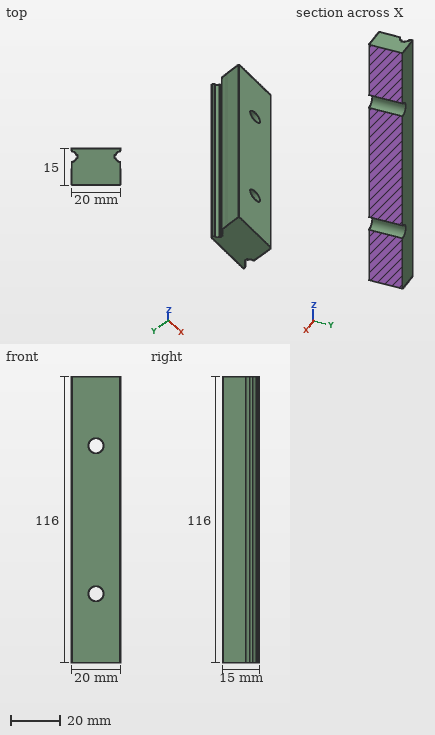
import cadquery as cq
import math

width = 20.0
height = 15.0
length = 116.0
half_width = width / 2
top = height / 2
bottom = -height / 2

ball_radius = 2.2
ball_center_x = half_width + 0.1
ball_center_y = top - 3.4
relief_width = 1.3
relief_depth = 2.4

lip_land = 0.7
lip_bevel_height = 0.7
lip_bevel_inset = 0.41

side_inset = 0.1
step_top_y = top - 7.3
step_bottom_y = top - 9.0

bottom_chamfer = 0.3

hole_diameter = 6.0
hole_spacing = 60.0


def ball_x(y):
    """X of the right-hand ball groove surface at height y."""
    return ball_center_x - math.sqrt(ball_radius**2 - (y - ball_center_y) ** 2)


def ball_point(y):
    return ball_x(y), y


def make_half_rail():
    """Right half of the rail section, extruded to the full length."""
    relief_top_y = ball_center_y + relief_width / 2
    relief_bottom_y = ball_center_y - relief_width / 2
    relief_x = half_width - relief_depth
    upper_arc_y = top - lip_land - lip_bevel_height
    upper_arc_mid_y = (upper_arc_y + relief_top_y) / 2

    side_x = half_width - side_inset
    lower_arc_y = ball_center_y - math.sqrt(ball_radius**2 - (side_x - ball_center_x) ** 2)
    lower_arc_mid_y = (lower_arc_y + relief_bottom_y) / 2

    return (
        cq.Workplane("XY")
        .workplane(offset=-length / 2)
        .moveTo(0, top)
        .lineTo(half_width, top)
        .lineTo(half_width, top - lip_land)
        .lineTo(half_width - lip_bevel_inset, upper_arc_y)
        .lineTo(*ball_point(upper_arc_y))
        .threePointArc(ball_point(upper_arc_mid_y), ball_point(relief_top_y))
        .lineTo(relief_x, relief_top_y)
        .lineTo(relief_x, relief_bottom_y)
        .lineTo(*ball_point(relief_bottom_y))
        .threePointArc(ball_point(lower_arc_mid_y), (side_x, lower_arc_y))
        .lineTo(side_x, step_top_y)
        .lineTo(half_width, step_bottom_y)
        .lineTo(half_width, bottom + bottom_chamfer)
        .lineTo(half_width - bottom_chamfer, bottom)
        .lineTo(0, bottom)
        .close()
        .extrude(length)
    )


def make_mounting_holes():
    """Plain holes along Y through the full height of the rail."""
    return (
        cq.Workplane("XZ", origin=(0, top, 0))
        .pushPoints([(0, -hole_spacing / 2), (0, hole_spacing / 2)])
        .circle(hole_diameter / 2)
        .extrude(height)
    )


half_rail = make_half_rail()
rail = half_rail.union(half_rail.mirror("YZ")).clean()
result = rail.cut(make_mounting_holes())